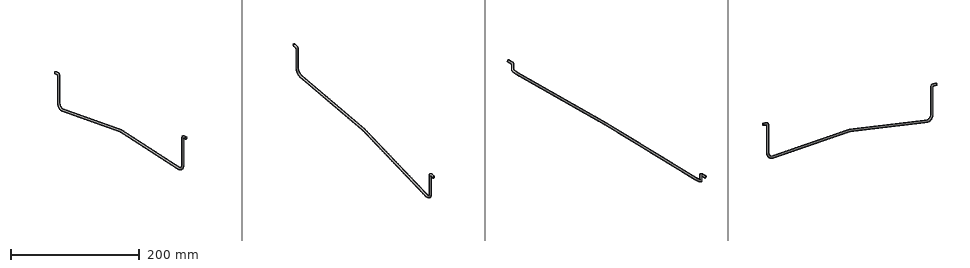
import cadquery as cq
import math

overall_length = 359.0
overall_height = 60.0
wire_diameter = 4.0
leg_spacing = 341.5
hook_bend_radius = 3.0
lower_bend_radius = 10.0
crest_bend_radius = 20.0
span_slope = math.radians(5.0)

end_x = overall_length / 2
leg_x = leg_spacing / 2
hook_z = overall_height - wire_diameter / 2
lower_bend_x = leg_x - lower_bend_radius
lower_bend_z = wire_diameter / 2 + lower_bend_radius

span_start_x = lower_bend_x - lower_bend_radius * math.sin(span_slope)
span_start_z = lower_bend_z - lower_bend_radius * math.cos(span_slope)

crest_x = crest_bend_radius * math.sin(span_slope)
crest_edge_z = span_start_z + (span_start_x - crest_x) * math.tan(span_slope)
crest_top_z = crest_edge_z + crest_bend_radius * (1 - math.cos(span_slope))


def bend_point(center_x, center_z, radius, angle):
    """Point on a bend at the given angle from +X towards +Z."""
    return (center_x + radius * math.cos(angle), center_z + radius * math.sin(angle))


def mirrored(point):
    """Same point on the -X half."""
    return (-point[0], point[1])


hook_end = (end_x, hook_z)
hook_bend_start = (leg_x + hook_bend_radius, hook_z)
hook_bend_middle = bend_point(
    leg_x + hook_bend_radius, hook_z - hook_bend_radius, hook_bend_radius, math.radians(135)
)
leg_top = (leg_x, hook_z - hook_bend_radius)
leg_bottom = (leg_x, lower_bend_z)
lower_bend_sweep = math.pi / 2 + span_slope
lower_bend_middle = bend_point(lower_bend_x, lower_bend_z, lower_bend_radius, -lower_bend_sweep / 2)
span_start = (span_start_x, span_start_z)
crest_edge = (crest_x, crest_edge_z)
crest_top = (0, crest_top_z)

center_line = (
    cq.Workplane("XZ")
    .moveTo(*mirrored(hook_end))
    .lineTo(*mirrored(hook_bend_start))
    .threePointArc(mirrored(hook_bend_middle), mirrored(leg_top))
    .lineTo(*mirrored(leg_bottom))
    .threePointArc(mirrored(lower_bend_middle), mirrored(span_start))
    .lineTo(*mirrored(crest_edge))
    .threePointArc(crest_top, crest_edge)
    .lineTo(*span_start)
    .threePointArc(lower_bend_middle, leg_bottom)
    .lineTo(*leg_top)
    .threePointArc(hook_bend_middle, hook_bend_start)
    .lineTo(*hook_end)
)

result = (
    cq.Workplane("YZ", origin=(-end_x, 0, hook_z))
    .circle(wire_diameter / 2)
    .sweep(center_line)
)